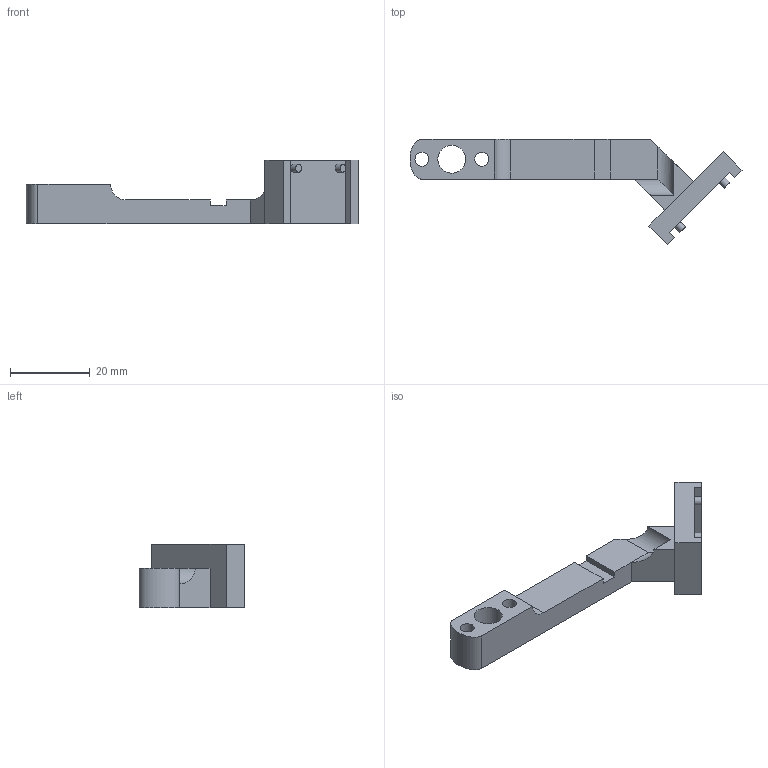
import cadquery as cq
import math

arm_width = 10.0
arm_height = 10.0
end_length = 3.0
half_width = arm_width / 2

bend_angle = 45.0
bend_x = 58.3
mitre_offset = half_width * math.tan(math.radians(bend_angle / 2))

main_hole_x = 10.5
main_hole_diameter = 7.0
side_hole_diameter = 3.5
side_hole_spacing = 7.5

relief_start_x = 21.2
relief_end_x = 66.2
relief_floor_z = 6.0
cove_radius = arm_height - relief_floor_z

groove_start_x = 46.2
groove_width = 4.0
groove_depth = 1.5

plate_length = 26.4
plate_thickness = 6.6
plate_height = 16.0
plate_shift = 2.5
plate_front = 19.61
plate_back = plate_front - plate_thickness

lip_width = 2.5
channel_depth = 1.8
channel_floor = plate_front - channel_depth

pin_diameter = 2.0
pin_spacing = 15.7
pin_top_inset = 2.0
pin_z = plate_height - pin_top_inset


def leg_plane(distance=0.0, height=0.0):
    """Horizontal plane on the bent leg: local X runs along the leg, local Y across it."""
    angle = math.radians(-bend_angle)
    along = (math.cos(angle), math.sin(angle), 0)
    origin = (bend_x + distance * along[0], distance * along[1], height)
    return cq.Plane(origin=origin, xDir=along, normal=(0, 0, 1))


def make_arm():
    """Straight arm cut along the mitre line, with a half-elliptical free end."""
    return (
        cq.Workplane("XY")
        .moveTo(end_length, -half_width)
        .lineTo(bend_x - mitre_offset, -half_width)
        .lineTo(bend_x + mitre_offset, half_width)
        .lineTo(end_length, half_width)
        .ellipseArc(half_width, end_length, 0, 180, rotation_angle=90, startAtCurrent=True)
        .close()
        .extrude(arm_height)
    )


def make_leg():
    """Bent leg from the mitre line into the back of the head plate."""
    outline = [
        (mitre_offset, -half_width),
        (plate_back, -half_width),
        (plate_back, half_width),
        (-mitre_offset, half_width),
    ]
    return cq.Workplane(leg_plane()).polyline(outline).close().extrude(arm_height)


def make_relief():
    """Volume above the lowered top: lengthwise and crosswise coved profiles, intersected."""
    cove_edge_y = -half_width - cove_radius
    lengthwise = (
        cq.Workplane("XZ", origin=(0, half_width, 0))
        .moveTo(relief_start_x, arm_height)
        .radiusArc((relief_start_x + cove_radius, relief_floor_z), -cove_radius)
        .lineTo(relief_end_x - cove_radius, relief_floor_z)
        .radiusArc((relief_end_x, arm_height), -cove_radius)
        .close()
        .extrude(arm_width + cove_radius)
    )
    crosswise = (
        cq.Workplane("YZ")
        .moveTo(half_width, arm_height)
        .lineTo(half_width, relief_floor_z)
        .lineTo(-half_width, relief_floor_z)
        .radiusArc((cove_edge_y, arm_height), cove_radius)
        .close()
        .extrude(relief_end_x)
    )
    return lengthwise.intersect(crosswise)


def make_groove():
    """Square groove across the lowered top, cut the full width of the arm."""
    return (
        cq.Workplane("XY", origin=(groove_start_x + groove_width / 2, 0, relief_floor_z - groove_depth))
        .rect(groove_width, arm_width)
        .extrude(groove_depth)
    )


def make_holes():
    """Large hole with a smaller hole on each side of it."""
    main_hole = cq.Workplane("XY").center(main_hole_x, 0).circle(main_hole_diameter / 2)
    side_holes = (
        cq.Workplane("XY")
        .center(main_hole_x, 0)
        .pushPoints([(-side_hole_spacing, 0), (side_hole_spacing, 0)])
        .circle(side_hole_diameter / 2)
    )
    return main_hole.extrude(arm_height).union(side_holes.extrude(arm_height))


def make_plate():
    """Head plate with a full-height channel between two lips on its front face."""
    body = (
        cq.Workplane(leg_plane())
        .center((plate_back + plate_front) / 2, plate_shift)
        .rect(plate_thickness, plate_length)
        .extrude(plate_height)
    )
    channel = (
        cq.Workplane(leg_plane())
        .center((channel_floor + plate_front) / 2, plate_shift)
        .rect(channel_depth, plate_length - 2 * lip_width)
        .extrude(plate_height)
    )
    return body.cut(channel)


def make_pins():
    """Two pins pointing along the leg from the channel floor."""
    floor_plane = leg_plane(channel_floor, pin_z).rotated((0, 90, 0))
    return (
        cq.Workplane(floor_plane)
        .pushPoints([(0, plate_shift - pin_spacing / 2), (0, plate_shift + pin_spacing / 2)])
        .circle(pin_diameter / 2)
        .extrude(channel_depth)
    )


bar = make_arm().union(make_leg())
bar = bar.cut(make_relief()).cut(make_groove()).cut(make_holes())
result = bar.union(make_plate()).union(make_pins())